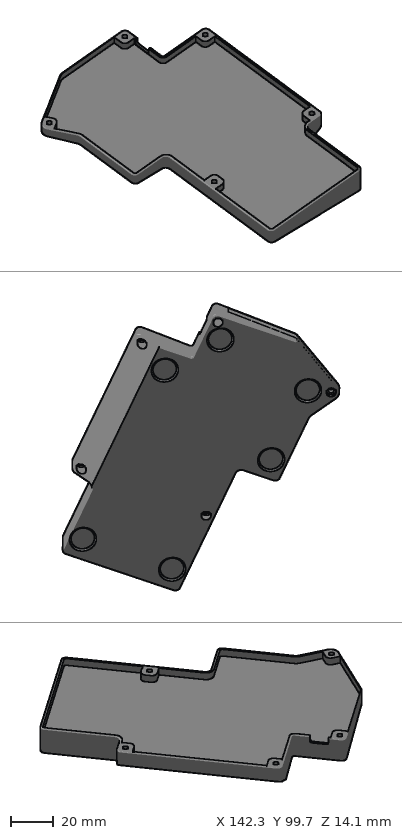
import cadquery as cq
import math

LENGTH = 142.26
WIDTH = 99.73
HEIGHT = 14.08

WING_REAR_Y = 71.9
REAR_LEFT_X = 25.3
REAR_RIGHT_X = 103.9
RIGHT_REAR_Y = 88.0
RIGHT_FRONT_Y = 28.5
FRONT_RIGHT_X = 72.1
FRONT_Y = 8.2
SLANT_ANGLE = 30.0
CORNER_RADIUS = 2.4
STEP_RADIUS = 2.6
WING_STEP_RADIUS = 1.1
LEFT_BEND_RADIUS = 4.5
FRONT_BEND_RADIUS = 3.4
NOSE_RADIUS = 4.0
NOSE_CENTRE = (19.6, NOSE_RADIUS)

CAVITY_DEPTH = 3.8
WALL = 1.3
THIN_WALL = 0.5

FRONT_HEIGHT = 5.3
RIDGE_Y = 88.7
REAR_HEIGHT = 7.75

RIM_FILLET = 0.45
BOTTOM_FILLET = 0.8

BOSS_HALF = 3.85
NOSE_BOSS_HALF = 3.3
BOSS_RADIUS = 2.5
BOSS_REACH = 4.0
HOLE_DIAMETER = 2.5
HEAD_DIAMETER = 4.5
SCREW_SEAT_DEPTH = 3.8
SCREWS = [
    ((28.9, 95.9), (-1, 1), 0, BOSS_HALF),
    ((100.1, 95.9), (1, 1), 0, BOSS_HALF),
    ((3.65, 68.2), (-1, 1), 0, BOSS_HALF),
    ((100.1, 32.5), (0, -1), 0, BOSS_HALF),
    ((19.2, 4.0), (-1, -1), SLANT_ANGLE, NOSE_BOSS_HALF),
]

NOTCH_START_X = 8.4
NOTCH_END_X = 17.1
NOTCH_DEPTH = 3.4
NOTCH_RADIUS = 1.0

FOOT_DIAMETER = 11.0
FOOT_DEPTH = 0.8
FOOT_TAPER = 45.0
FEET = [(11.7, 63.5), (35.7, 81.3), (131.9, 81.3), (131.9, 36.0), (62.0, 16.0), (22.2, 14.5)]

COS_SLANT = math.cos(math.radians(SLANT_ANGLE))
SIN_SLANT = math.sin(math.radians(SLANT_ANGLE))
SLOPE = (HEIGHT - FRONT_HEIGHT) / RIDGE_Y

PICK_MARGIN = 0.1
DOWNWARD_NORMAL = -0.5


def rounded_prism(corners, depth):
    """Extrude a polygon of (x, y, radius) corners from the rim down, rounding each upright edge."""
    points = [(x, y) for x, y, _ in corners]
    prism = cq.Workplane("XY").polyline(points).close().extrude(-depth)
    for x, y, radius in corners:
        low = (x - PICK_MARGIN, y - PICK_MARGIN, -depth)
        high = (x + PICK_MARGIN, y + PICK_MARGIN, 0)
        near = cq.selectors.BoxSelector(low, high)
        prism = prism.edges("|Z").edges(near).fillet(radius)
    return prism


def outline(wall, thin_wall):
    """Corners of the case outline moved inward by the wall, and by thin_wall on the two left sides."""
    left = thin_wall
    slant_reach = NOSE_RADIUS - thin_wall
    nose_reach = NOSE_RADIUS - wall
    nose_x = NOSE_CENTRE[0] - slant_reach * COS_SLANT + nose_reach * SIN_SLANT
    nose_y = NOSE_CENTRE[1] - slant_reach * SIN_SLANT - nose_reach * COS_SLANT
    left_bend_y = nose_y + (nose_x - left) * COS_SLANT / SIN_SLANT
    front = FRONT_Y + wall
    front_bend_x = nose_x + (front - nose_y) * COS_SLANT / SIN_SLANT
    convex = CORNER_RADIUS - wall
    concave = STEP_RADIUS + wall
    return [
        (left, left_bend_y, LEFT_BEND_RADIUS - thin_wall),
        (nose_x, nose_y, NOSE_RADIUS - wall),
        (front_bend_x, front, FRONT_BEND_RADIUS + wall),
        (FRONT_RIGHT_X - wall, front, convex),
        (FRONT_RIGHT_X - wall, RIGHT_FRONT_Y + wall, concave),
        (LENGTH - wall, RIGHT_FRONT_Y + wall, convex),
        (LENGTH - wall, RIGHT_REAR_Y - wall, convex),
        (REAR_RIGHT_X - wall, RIGHT_REAR_Y - wall, concave),
        (REAR_RIGHT_X - wall, WIDTH - wall, convex),
        (REAR_LEFT_X + wall, WIDTH - wall, convex),
        (REAR_LEFT_X + wall, WING_REAR_Y - wall, WING_STEP_RADIUS + wall),
        (left, WING_REAR_Y - wall, convex),
    ]


def side_wedge():
    """Side profile of the case, swept over its whole length."""
    profile = [(0, 0), (0, -FRONT_HEIGHT), (RIDGE_Y, -HEIGHT), (WIDTH, -REAR_HEIGHT), (WIDTH, 0)]
    return cq.Workplane("YZ").polyline(profile).close().extrude(LENGTH)


def shell():
    """Solid block with the sloped underside and rounded rim and bottom edges."""
    block = rounded_prism(outline(0, 0), HEIGHT).intersect(side_wedge())
    block = block.faces(">Z").edges().fillet(RIM_FILLET)
    underside = [face for face in block.faces().vals() if face.normalAt().z < DOWNWARD_NORMAL]
    edges = [edge for face in underside for edge in face.Edges()]
    border = [edge for edge in edges if abs(edge.Center().y - RIDGE_Y) > PICK_MARGIN]
    return block.newObject(border).fillet(BOTTOM_FILLET)


def boss(center, outward, angle, half):
    """Rounded screw boss, as tall as the cavity and stretched outward to merge with the walls."""
    width = 2 * half + BOSS_REACH * abs(outward[0])
    depth = 2 * half + BOSS_REACH * abs(outward[1])
    shift_x = outward[0] * BOSS_REACH / 2
    shift_y = outward[1] * BOSS_REACH / 2
    post = cq.Workplane("XY").center(shift_x, shift_y).rect(width, depth).extrude(-CAVITY_DEPTH)
    post = post.edges("|Z").fillet(BOSS_RADIUS)
    return post.rotate((0, 0, 0), (0, 0, 1), angle).translate((center[0], center[1], 0))


def cavity():
    """Space inside the walls, leaving the screw bosses standing."""
    space = rounded_prism(outline(WALL, THIN_WALL), CAVITY_DEPTH)
    for center, outward, angle, half in SCREWS:
        space = space.cut(boss(center, outward, angle, half))
    return space


def screw_holes():
    """Through holes with a wider bore for the screw head, open at the underside."""
    centers = [center for center, _, _, _ in SCREWS]
    shanks = cq.Workplane("XY").pushPoints(centers).circle(HOLE_DIAMETER / 2).extrude(-HEIGHT)
    heads = cq.Workplane("XY", origin=(0, 0, -SCREW_SEAT_DEPTH)).pushPoints(centers)
    return shanks.union(heads.circle(HEAD_DIAMETER / 2).extrude(-HEIGHT))


def notch():
    """Connector opening through the wing's rear wall, rounded at its lower corners."""
    width = NOTCH_END_X - NOTCH_START_X
    opening = cq.Workplane("XY").box(width, WALL, NOTCH_DEPTH, centered=False)
    opening = opening.edges("|Y and <Z").fillet(NOTCH_RADIUS)
    return opening.translate((NOTCH_START_X, WING_REAR_Y - WALL, -NOTCH_DEPTH))


def foot_recess(x, y):
    """Flat-floored recess with flaring sides, sunk square to the sloped underside."""
    underside = cq.Plane(origin=(x, y, -FRONT_HEIGHT - SLOPE * y), xDir=(1, 0, 0), normal=(0, SLOPE, 1))
    mouth_radius = FOOT_DIAMETER / 2 + FOOT_DEPTH * math.tan(math.radians(FOOT_TAPER))
    return cq.Workplane(underside).circle(mouth_radius).extrude(FOOT_DEPTH, taper=FOOT_TAPER)


result = shell().cut(cavity()).cut(screw_holes()).cut(notch())
for foot_x, foot_y in FEET:
    result = result.cut(foot_recess(foot_x, foot_y))